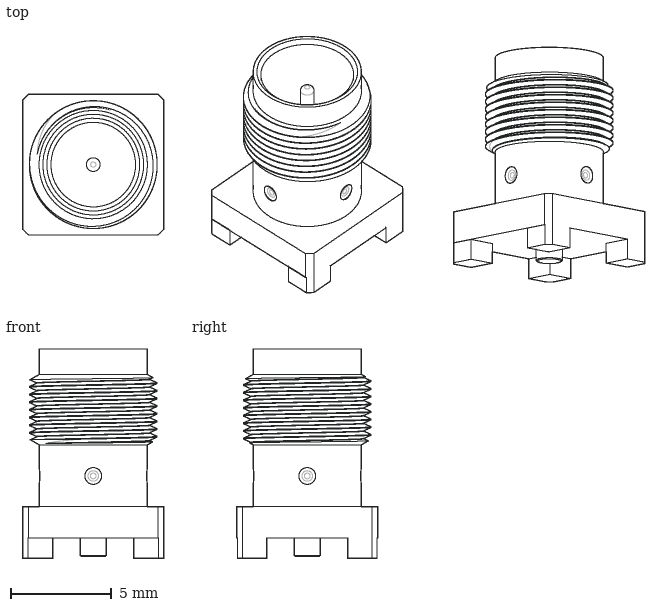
import cadquery as cq
import math

base_width = 7.0
total_height = 10.4
foot_height = 1.0
base_top = 2.57
base_corner_chamfer = 0.29
foot_gap = 4.0
foot_inset_y = 0.03

barrel_radius = 5.38 / 2
rim_radius = 5.0 / 2
bore_radius = 4.61 / 2
bore_floor_radius = 4.2 / 2
bore_depth = 4.75

thread_radius = 6.35 / 2
thread_bottom = 5.63
thread_top = 9.135
thread_pitch = 0.38
thread_root_radius = 2.83
thread_crest_width = 0.04
thread_root_width = 0.02
end_cone_slope = math.tan(math.radians(30))
crest_height_at_x = 8.7
crest_clearance = 0.2
ridge_overlap = 0.01

contact_radius = 0.68 / 2
contact_tip_radius = 0.26 / 2
contact_top = 9.38
tail_radius = 1.3 / 2
tail_bottom = 0.1
tail_chamfer = 0.05

dimple_height = 4.09
dimple_mouth_radius = 0.83 / 2
dimple_step_radius = 0.52 / 2
dimple_floor_radius = 0.28 / 2
dimple_step_depth = 0.06
dimple_floor_depth = 0.09
dimple_reach = 0.1
dimple_count = 4


def revolve_profile(profile):
    """Turn a closed (radius, height) outline about the Z axis."""
    return cq.Workplane("XZ").polyline(profile).close().revolve(360, (0, 0), (0, 1))


def make_base():
    """Square plate whose crossed underside channels leave a foot at each corner."""
    block = cq.Workplane("XY").box(base_width, base_width, base_top, centered=(True, True, False))
    block = block.edges("|Z").chamfer(base_corner_chamfer)
    for size_x, size_y in ((foot_gap, 2 * base_width), (2 * base_width, foot_gap)):
        gap = cq.Workplane("XY").box(size_x, size_y, foot_height, centered=(True, True, False))
        block = block.cut(gap)
    for side in (-1, 1):
        trim = (
            cq.Workplane("XY")
            .center(0, side * base_width / 2)
            .box(2 * base_width, 2 * foot_inset_y, foot_height, centered=(True, True, False))
        )
        block = block.cut(trim)
    return block


def make_end_cones():
    """Threaded length coned down to the barrel at both ends and clear of the crests between."""
    clear_radius = thread_radius + crest_clearance
    cone_height = (clear_radius - barrel_radius) * end_cone_slope
    return revolve_profile([
        (0, thread_bottom),
        (barrel_radius, thread_bottom),
        (clear_radius, thread_bottom + cone_height),
        (clear_radius, thread_top - cone_height),
        (barrel_radius, thread_top),
        (0, thread_top),
    ])


def make_thread():
    """Helical ridge on a cylinder of the root radius, trimmed by the end cones."""
    turns_below_crest = math.ceil((crest_height_at_x - thread_bottom) / thread_pitch) + 1
    ridge_start = crest_height_at_x - turns_below_crest * thread_pitch
    ridge_turns = math.ceil((thread_top - ridge_start) / thread_pitch) + 1
    ridge_root = thread_root_radius - ridge_overlap
    half_crest = thread_crest_width / 2
    half_root = (thread_pitch - thread_root_width) / 2
    helix = cq.Wire.makeHelix(thread_pitch, ridge_turns * thread_pitch, thread_root_radius)
    helix = helix.translate(cq.Vector(0, 0, ridge_start))
    ridge = (
        cq.Workplane("XZ")
        .polyline([
            (ridge_root, ridge_start - half_root),
            (thread_radius, ridge_start - half_crest),
            (thread_radius, ridge_start + half_crest),
            (ridge_root, ridge_start + half_root),
        ])
        .close()
        .sweep(cq.Workplane(obj=helix), isFrenet=True)
    )
    core_length = (ridge_turns + 2) * thread_pitch
    core = (
        cq.Workplane("XY")
        .workplane(offset=ridge_start - thread_pitch)
        .circle(thread_root_radius)
        .extrude(core_length)
    )
    return core.union(ridge).intersect(make_end_cones())


def make_bore():
    """Cutter for the socket, with a conical lead-in and a coned floor edge."""
    lead_in_depth = rim_radius - bore_radius
    floor = total_height - bore_depth
    return revolve_profile([
        (0, total_height),
        (rim_radius, total_height),
        (bore_radius, total_height - lead_in_depth),
        (bore_radius, floor + bore_radius - bore_floor_radius),
        (bore_floor_radius, floor),
        (0, floor),
    ])


def make_contact():
    """Round-tipped centre pin and the solder tail below the plate."""
    tip_round = contact_radius - contact_tip_radius
    pin = (
        cq.Workplane("XY")
        .workplane(offset=base_top)
        .circle(contact_radius)
        .extrude(contact_top - base_top)
        .faces(">Z")
        .edges()
        .fillet(tip_round)
    )
    tail = (
        cq.Workplane("XY")
        .workplane(offset=tail_bottom)
        .circle(tail_radius)
        .extrude(base_top - tail_bottom)
        .faces("<Z")
        .chamfer(tail_chamfer)
    )
    return pin.union(tail)


def make_dimple():
    """Stepped conical cutter entering the barrel from the +X side."""
    mouth = math.sqrt(barrel_radius**2 - dimple_mouth_radius**2)
    return (
        cq.Workplane("XZ")
        .polyline([
            (mouth + dimple_reach, 0),
            (mouth + dimple_reach, dimple_mouth_radius),
            (mouth, dimple_mouth_radius),
            (mouth - dimple_step_depth, dimple_step_radius),
            (mouth - dimple_floor_depth, dimple_floor_radius),
            (mouth - dimple_floor_depth, 0),
        ])
        .close()
        .revolve(360, (0, 0), (1, 0))
        .translate((0, 0, dimple_height))
    )


def make_barrel():
    barrel = (
        cq.Workplane("XY")
        .workplane(offset=base_top)
        .circle(barrel_radius)
        .extrude(total_height - base_top)
    )
    dimple = make_dimple()
    for index in range(dimple_count):
        angle = index * 360 / dimple_count
        barrel = barrel.cut(dimple.rotate((0, 0, 0), (0, 0, 1), angle))
    return barrel


shell = make_base().union(make_barrel()).union(make_thread()).cut(make_bore())
result = shell.union(make_contact())